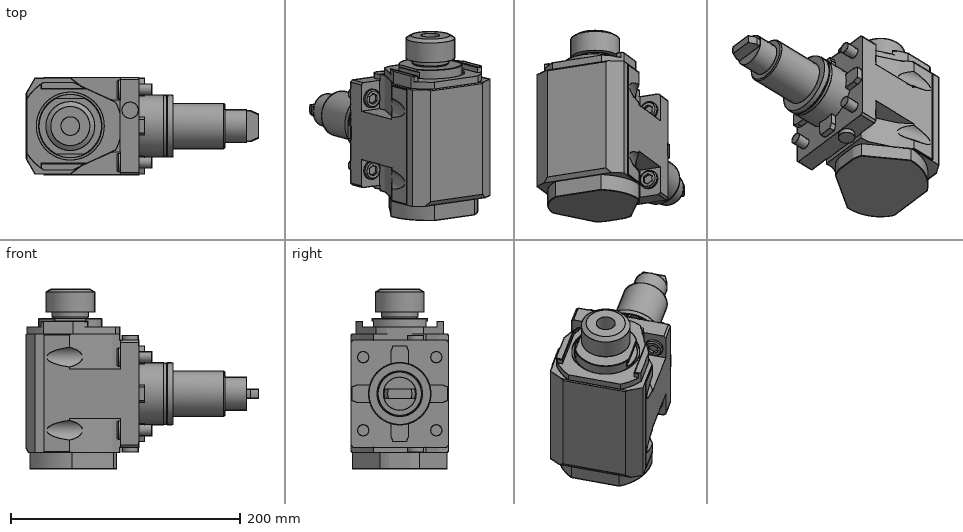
import cadquery as cq
import math


BODY_LEFT = -38.8
BODY_RIGHT = 43.2
BODY_BOTTOM = -51.4
BODY_TOP = 52.2
BODY_HALF_WIDTH = 41.8
CORNER_START_X = -30.9
LEFT_FACE_HALF_WIDTH = 28.0
TOP_LEFT_CHAMFER = 1.0
BOTTOM_LEFT_CHAMFER_X = 2.5
BOTTOM_LEFT_CHAMFER_Z = 4.0

PAD_LEFT = -23.0
PAD_HALF_WIDTH = 85.0 / 2
PAD_END_GAP = 0.5
PAD_CHAMFER = 0.6

BRIDGE_HALF_HEIGHT = 21.5
POCKET_START_X = -0.8
POCKET_BEND_X = 10.2
STEEP_ANGLE = 37.0
SHALLOW_ANGLE = 24.0
NECK_HALF_WIDTH = 22.7
POCKET_BEND_RADIUS = 8.1

FLANGE_LEFT = 43.8
FLANGE_RIGHT = 59.7
FLANGE_HALF_HEIGHT = 46.7
FLANGE_CHAMFER = 1.8
PIN_X = 52.2
PIN_Y = 13.8
PIN_RADIUS = 7.1
PIN_HALF_SPAN = 51.0

SCREW_OFFSET = 31.9
SCREW_HEAD_RADIUS = 8.1
SCREW_HEAD_HEIGHT = 3.2
SCREW_HEAD_CHAMFER = 1.2
SCREW_SOCKET_WIDTH = 8.1
SCREW_SOCKET_DEPTH = 2.5
SCREW_RADIUS = 4.9
SCREW_END_X = 71.0
GROOVE_RADIUS = 9.7
GROOVE_TIP_X = -20.5
GROOVE_ANGLE = 15.4
GROOVE_LENGTH = 50.8

KEY_WIDTH = 15.6
KEY_REACH = 41.8
KEY_INNER = 24.4
KEY_END_X = 64.8
KEY_TOP_WIDTH = 11.8
KEY_TAPER_HEIGHT = 5.3

SHANK_COLLAR_RADIUS = 27.2
SHANK_COLLAR_END = 89.7
BAND_LEFT = 81.5
BAND_DEPTH = 0.2
RING_GROOVE_LEFT = 83.8
RING_GROOVE_WIDTH = 1.0
RING_GROOVE_DEPTH = 1.2
COLLAR_TAPER_LENGTH = 2.0
COLLAR_TAPER_DEPTH = 0.5
SHANK_RADIUS = 19.9
SHANK_END = 134.8
SHANK_CHAMFER = 1.0
SPIGOT_RADIUS = 14.5
SPIGOT_END = 153.7
TANG_RADIUS = 13.5
TANG_TAPER_START = 157.1
TANG_TIP_RADIUS = 10.5
TANG_END = BODY_LEFT + 203
TANG_THICKNESS = 8.1

COVER_RADIUS = 41.5
COVER_LEFT = -35.3
COVER_RIGHT = 40.4
COVER_BOTTOM = -65.5
COVER_SLANT_X = 1.6
COVER_SLANT_ANGLE = 34.0
COVER_CHAMFER = 0.5

PLATE_RADIUS = 44.7
PLATE_LEFT = -38.0
PLATE_RIGHT = BODY_RIGHT
PLATE_HALF_WIDTH = 38.2
PLATE_SLANT_X = 2.2
PLATE_SLANT_ANGLE = 25.0
PLATE_TOP = 58.3
RIB_TOP = 63.1
RIB_LEFT = -25.5
RIB_INNER_Y = 32.3
RIB_CHAMFER = 0.6

COLLAR_RADIUS = 27.6
COLLAR_TOP = 65.8
COLLAR_CHAMFER = 0.5
COLLAR_FLAT_Y = 24.2
WRENCH_SLOT_Y = 23.0
WRENCH_SLOT_TOP = 63.3
CLEARANCE_RADIUS = 29.6
CLEARANCE_DEPTH = 2.0
UNDERCUT_RADIUS = 15.0
UNDERCUT_TOP = 66.8
NECK_RADIUS = 16.0
NUT_BOTTOM = 71.0
NUT_TOP = COVER_BOTTOM + 156.7
NUT_RADIUS = 21.3
NUT_TOP_RADIUS = 17.0
NUT_CHAMFER_HEIGHT = 2.6
BORE_RADIUS = 8.1
BORE_DEPTH = 16.2

STEEP_SLOPE = math.tan(math.radians(STEEP_ANGLE))
SHALLOW_SLOPE = math.tan(math.radians(SHALLOW_ANGLE))
BODY_HEIGHT = BODY_TOP - BODY_BOTTOM


def box(x0, x1, y0, y1, z0, z1):
    """Box given by its limits along each axis."""
    return cq.Workplane("XY").box(x1 - x0, y1 - y0, z1 - z0, centered=False).translate((x0, y0, z0))


def rod(x0, x1, radius, y=0.0, z=0.0):
    """Cylinder along X."""
    return cq.Workplane("YZ", origin=(x0, y, z)).circle(radius).extrude(x1 - x0)


def post(z0, z1, radius, x=0.0, y=0.0):
    """Cylinder along Z."""
    return cq.Workplane("XY", origin=(x, y, z0)).circle(radius).extrude(z1 - z0)


def revolve_about_x(profile):
    """Turned solid from (x, radius) points."""
    return cq.Workplane("XY").polyline(profile).close().revolve(360, (0, 0, 0), (1, 0, 0))


def with_y_mirror(solid):
    return solid.union(solid.mirror("XZ"))


def with_z_mirror(solid):
    return solid.union(solid.mirror("XY"))


def trimmed_disc(radius, left, right, half_width, slant_x, slant_angle, z0, z1):
    """Disc cut by flats at left, right and both sides, with slanted sides from slant_x on."""
    right_half_width = half_width - math.tan(math.radians(slant_angle)) * (right - slant_x)
    upper = [(left, half_width), (slant_x, half_width), (right, right_half_width)]
    lower = [(x, -y) for x, y in reversed(upper)]
    trim = cq.Workplane("XY", origin=(0, 0, z0)).polyline(upper + lower).close().extrude(z1 - z0)
    return post(z0, z1, radius).intersect(trim)


def make_body():
    outline = [
        (BODY_LEFT, -LEFT_FACE_HALF_WIDTH),
        (CORNER_START_X, -BODY_HALF_WIDTH),
        (BODY_RIGHT, -BODY_HALF_WIDTH),
        (BODY_RIGHT, BODY_HALF_WIDTH),
        (CORNER_START_X, BODY_HALF_WIDTH),
        (BODY_LEFT, LEFT_FACE_HALF_WIDTH),
    ]
    block = cq.Workplane("XY", origin=(0, 0, BODY_BOTTOM)).polyline(outline).close().extrude(BODY_HEIGHT)
    profile = [
        (BODY_LEFT, BODY_BOTTOM + BOTTOM_LEFT_CHAMFER_Z),
        (BODY_LEFT + BOTTOM_LEFT_CHAMFER_X, BODY_BOTTOM),
        (BODY_RIGHT, BODY_BOTTOM),
        (BODY_RIGHT, BODY_TOP),
        (BODY_LEFT + TOP_LEFT_CHAMFER, BODY_TOP),
        (BODY_LEFT, BODY_TOP - TOP_LEFT_CHAMFER),
    ]
    side_profile = cq.Workplane("XZ").polyline(profile).close().extrude(PAD_HALF_WIDTH, both=True)
    block = block.intersect(side_profile)
    pads = box(
        PAD_LEFT, BODY_RIGHT,
        -PAD_HALF_WIDTH, PAD_HALF_WIDTH,
        BODY_BOTTOM + PAD_END_GAP, BODY_TOP - PAD_END_GAP,
    ).edges("|X").chamfer(PAD_CHAMFER)
    return block.union(pads)


def make_pockets():
    """The four corner reliefs that narrow the body towards the flange."""
    bend_y = PAD_HALF_WIDTH - STEEP_SLOPE * (POCKET_BEND_X - POCKET_START_X)
    neck_x = POCKET_BEND_X + (bend_y - NECK_HALF_WIDTH) / SHALLOW_SLOPE
    outer_y = PAD_HALF_WIDTH + 2
    outer_x = POCKET_START_X - (outer_y - PAD_HALF_WIDTH) / STEEP_SLOPE
    outline = [
        (outer_x, outer_y),
        (POCKET_BEND_X, bend_y),
        (neck_x, NECK_HALF_WIDTH),
        (FLANGE_LEFT, NECK_HALF_WIDTH),
        (FLANGE_LEFT, outer_y),
    ]
    pocket = (
        cq.Workplane("XY", origin=(0, 0, BRIDGE_HALF_HEIGHT))
        .polyline(outline)
        .close()
        .extrude(BODY_HEIGHT)
    )
    for x, y in [(POCKET_BEND_X, bend_y), (neck_x, NECK_HALF_WIDTH)]:
        bend_edge = cq.selectors.NearestToPointSelector((x, y, BRIDGE_HALF_HEIGHT + BODY_HEIGHT / 2))
        pocket = pocket.edges(bend_edge).fillet(POCKET_BEND_RADIUS)
    return with_z_mirror(with_y_mirror(pocket))


def make_grooves():
    """Sloping round grooves that give a tool access to the screw heads."""
    angle = math.radians(GROOVE_ANGLE)
    direction = (math.cos(angle), -math.sin(angle), 0)
    axis_point = (
        GROOVE_TIP_X + GROOVE_RADIUS * math.sin(angle),
        PAD_HALF_WIDTH + GROOVE_RADIUS * math.cos(angle),
        SCREW_OFFSET,
    )
    start = cq.Vector(*axis_point) - cq.Vector(*direction) * GROOVE_RADIUS
    plane = cq.Plane(origin=start.toTuple(), xDir=(0, 0, 1), normal=direction)
    groove = cq.Workplane(plane).circle(GROOVE_RADIUS).extrude(GROOVE_LENGTH)
    return with_z_mirror(with_y_mirror(groove))


def make_flange():
    flange = box(
        FLANGE_LEFT, FLANGE_RIGHT,
        -PAD_HALF_WIDTH, PAD_HALF_WIDTH,
        -FLANGE_HALF_HEIGHT, FLANGE_HALF_HEIGHT,
    ).edges("|X").chamfer(FLANGE_CHAMFER)
    neck = box(
        BODY_RIGHT, FLANGE_LEFT,
        -NECK_HALF_WIDTH, NECK_HALF_WIDTH,
        -FLANGE_HALF_HEIGHT, FLANGE_HALF_HEIGHT,
    )
    bridge = box(
        BODY_RIGHT, FLANGE_LEFT,
        -PAD_HALF_WIDTH, PAD_HALF_WIDTH,
        -BRIDGE_HALF_HEIGHT, BRIDGE_HALF_HEIGHT,
    )
    pins = post(-PIN_HALF_SPAN, PIN_HALF_SPAN, PIN_RADIUS, PIN_X, PIN_Y)
    return flange.union(neck).union(bridge).union(pins)


def make_screws():
    head_left = FLANGE_LEFT - SCREW_HEAD_HEIGHT
    head = rod(head_left, FLANGE_LEFT, SCREW_HEAD_RADIUS).faces("<X").chamfer(SCREW_HEAD_CHAMFER)
    socket = (
        cq.Workplane("YZ", origin=(head_left, 0, 0))
        .polygon(6, SCREW_SOCKET_WIDTH / math.cos(math.pi / 6))
        .extrude(SCREW_SOCKET_DEPTH)
        .rotate((0, 0, 0), (1, 0, 0), 30)
    )
    screw = head.union(rod(FLANGE_LEFT, SCREW_END_X, SCREW_RADIUS)).cut(socket)
    return with_z_mirror(with_y_mirror(screw.translate((0, SCREW_OFFSET, SCREW_OFFSET))))


def make_keys():
    right_half = [
        (KEY_WIDTH / 2, KEY_INNER),
        (KEY_WIDTH / 2, KEY_REACH - KEY_TAPER_HEIGHT),
        (KEY_TOP_WIDTH / 2, KEY_REACH),
    ]
    left_half = [(-y, z) for y, z in reversed(right_half)]
    key = (
        cq.Workplane("YZ", origin=(FLANGE_RIGHT, 0, 0))
        .polyline(right_half + left_half)
        .close()
        .extrude(KEY_END_X - FLANGE_RIGHT)
    )
    keys = key
    for turn in (90, 180, 270):
        keys = keys.union(key.rotate((0, 0, 0), (1, 0, 0), turn))
    return keys


def make_shank():
    groove_right = RING_GROOVE_LEFT + RING_GROOVE_WIDTH
    band_radius = SHANK_COLLAR_RADIUS - BAND_DEPTH
    groove_radius = SHANK_COLLAR_RADIUS - RING_GROOVE_DEPTH
    collar_profile = [
        (FLANGE_RIGHT, 0),
        (FLANGE_RIGHT, SHANK_COLLAR_RADIUS),
        (BAND_LEFT, SHANK_COLLAR_RADIUS),
        (BAND_LEFT, band_radius),
        (RING_GROOVE_LEFT, band_radius),
        (RING_GROOVE_LEFT, groove_radius),
        (groove_right, groove_radius),
        (groove_right, SHANK_COLLAR_RADIUS),
        (SHANK_COLLAR_END - COLLAR_TAPER_LENGTH, SHANK_COLLAR_RADIUS),
        (SHANK_COLLAR_END, SHANK_COLLAR_RADIUS - COLLAR_TAPER_DEPTH),
        (SHANK_COLLAR_END, 0),
    ]
    collar = revolve_about_x(collar_profile)
    shaft = rod(SHANK_COLLAR_END, SHANK_END, SHANK_RADIUS).faces(">X").chamfer(SHANK_CHAMFER)
    spigot = rod(SHANK_END, SPIGOT_END, SPIGOT_RADIUS)
    tang_profile = [
        (SPIGOT_END, 0),
        (SPIGOT_END, TANG_RADIUS),
        (TANG_TAPER_START, TANG_RADIUS),
        (TANG_END, TANG_TIP_RADIUS),
        (TANG_END, 0),
    ]
    tang = revolve_about_x(tang_profile).intersect(
        box(
            SPIGOT_END, TANG_END,
            -TANG_RADIUS, TANG_RADIUS,
            -TANG_THICKNESS / 2, TANG_THICKNESS / 2,
        )
    )
    return collar.union(shaft).union(spigot).union(tang)


def make_cover():
    cover = trimmed_disc(
        COVER_RADIUS, COVER_LEFT, COVER_RIGHT, COVER_RADIUS,
        COVER_SLANT_X, COVER_SLANT_ANGLE, COVER_BOTTOM, BODY_BOTTOM,
    )
    return cover.faces("<Z").chamfer(COVER_CHAMFER)


def make_plate():
    def plate_layer(z0, z1):
        return trimmed_disc(
            PLATE_RADIUS, PLATE_LEFT, PLATE_RIGHT, PLATE_HALF_WIDTH,
            PLATE_SLANT_X, PLATE_SLANT_ANGLE, z0, z1,
        )

    clearance = post(PLATE_TOP - CLEARANCE_DEPTH, PLATE_TOP, CLEARANCE_RADIUS)
    plate = plate_layer(BODY_TOP, PLATE_TOP).cut(clearance)
    rib_space = box(RIB_LEFT, PLATE_RIGHT, RIB_INNER_Y, PLATE_HALF_WIDTH, PLATE_TOP, RIB_TOP)
    rib_space = rib_space.faces(">Z").edges("<X or <Y").chamfer(RIB_CHAMFER)
    ribs = plate_layer(PLATE_TOP, RIB_TOP).intersect(with_y_mirror(rib_space))
    return plate.union(ribs)


def make_spindle():
    collar_bottom = PLATE_TOP - CLEARANCE_DEPTH
    collar = post(collar_bottom, COLLAR_TOP, COLLAR_RADIUS).faces(">Z").chamfer(COLLAR_CHAMFER)
    for inner_y, top in [(COLLAR_FLAT_Y, COLLAR_TOP), (WRENCH_SLOT_Y, WRENCH_SLOT_TOP)]:
        flat = box(-COLLAR_RADIUS, COLLAR_RADIUS, inner_y, COLLAR_RADIUS, PLATE_TOP, top)
        collar = collar.cut(with_y_mirror(flat))
    nut_profile = [
        (0, COLLAR_TOP),
        (UNDERCUT_RADIUS, COLLAR_TOP),
        (UNDERCUT_RADIUS, UNDERCUT_TOP),
        (NECK_RADIUS, UNDERCUT_TOP),
        (NECK_RADIUS, NUT_BOTTOM),
        (NUT_RADIUS, NUT_BOTTOM),
        (NUT_RADIUS, NUT_TOP - NUT_CHAMFER_HEIGHT),
        (NUT_TOP_RADIUS, NUT_TOP),
        (0, NUT_TOP),
    ]
    nut = cq.Workplane("XZ").polyline(nut_profile).close().revolve(360, (0, 0, 0), (0, 1, 0))
    return collar.union(nut).cut(post(NUT_TOP - BORE_DEPTH, NUT_TOP, BORE_RADIUS))


result = make_body().cut(make_pockets()).cut(make_grooves())
for feature in (
    make_flange(),
    make_screws(),
    make_keys(),
    make_shank(),
    make_cover(),
    make_plate(),
    make_spindle(),
):
    result = result.union(feature)